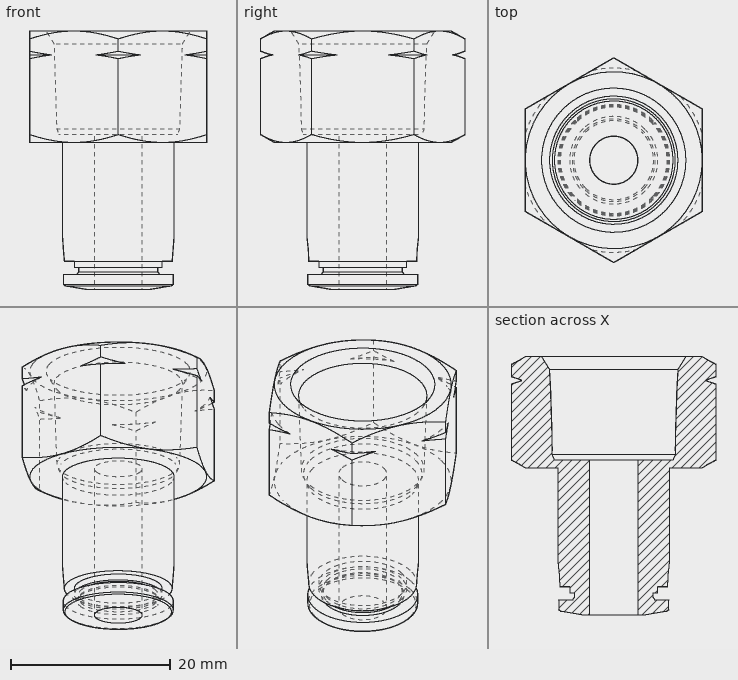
import cadquery as cq
import math

total_height = 32.4
across_flats = 22.23
across_corners = across_flats / math.cos(math.radians(30))
nut_bottom = 18.4

chamfer_angle = math.radians(30)
chamfer_circle_diameter = 22.15
groove_height = 29.4
groove_root_diameter = 23.13
groove_width = 0.95

body_diameter = 14.0
body_end_diameter = 13.55
taper_start = 6.48
body_end = 3.53
step_diameter = 11.0
step_bottom = 2.75
neck_diameter = 9.95
neck_bottom = 2.2
collar_diameter = 13.8
collar_top = 1.9
collar_shoulder_diameter = 10.37
collar_side_bottom = 0.65
collar_lower_diameter = 13.35
collar_lower_height = 0.45
collar_end_diameter = 7.95

socket_mouth_diameter = 18.08
socket_top_diameter = 16.07
socket_bottom_diameter = 15.4
socket_floor_diameter = 14.85
socket_mouth_depth = 1.62
socket_taper_depth = 12.3
socket_depth = 12.95
bore_diameter = 6.0


def revolve_profile(diameter_height_pairs):
    """Revolve a profile, closed on the Z axis, listed as (diameter, height)."""
    points = [(diameter / 2, height) for diameter, height in diameter_height_pairs]
    first_height = points[0][1]
    last_height = points[-1][1]
    outline = [(0, first_height)] + points + [(0, last_height)]
    return cq.Workplane("XZ").polyline(outline).close().revolve(360, (0, 0, 0), (0, 1, 0))


def make_nut():
    """Hexagon with corners on Y, both ends chamfered and a V groove across the corners."""
    nut = (
        cq.Workplane("XY", origin=(0, 0, nut_bottom))
        .polygon(6, across_corners)
        .extrude(total_height - nut_bottom)
        .rotate((0, 0, 0), (0, 0, 1), 30)
    )
    chamfer_height = (across_corners - chamfer_circle_diameter) / 2 * math.tan(chamfer_angle)
    envelope = revolve_profile([
        (chamfer_circle_diameter, nut_bottom),
        (across_corners, nut_bottom + chamfer_height),
        (across_corners, groove_height - groove_width / 2),
        (groove_root_diameter, groove_height),
        (across_corners, groove_height + groove_width / 2),
        (across_corners, total_height - chamfer_height),
        (chamfer_circle_diameter, total_height),
    ])
    return nut.intersect(envelope)


def make_body():
    """Turned body with a tapered end, a stepped neck and a release collar."""
    return revolve_profile([
        (collar_end_diameter, 0),
        (collar_lower_diameter, collar_lower_height),
        (collar_diameter, collar_side_bottom),
        (collar_diameter, collar_top),
        (collar_shoulder_diameter, collar_top),
        (neck_diameter, neck_bottom),
        (neck_diameter, step_bottom),
        (step_diameter, step_bottom),
        (step_diameter, body_end),
        (body_end_diameter, body_end),
        (body_diameter, taper_start),
        (body_diameter, nut_bottom),
    ])


def make_socket():
    """Tapered socket with a countersunk mouth and a narrower floor."""
    return revolve_profile([
        (socket_floor_diameter, total_height - socket_depth),
        (socket_bottom_diameter, total_height - socket_taper_depth),
        (socket_top_diameter, total_height - socket_mouth_depth),
        (socket_mouth_diameter, total_height),
    ])


bore = cq.Workplane("XY").circle(bore_diameter / 2).extrude(total_height)
result = make_nut().union(make_body()).cut(make_socket()).cut(bore)